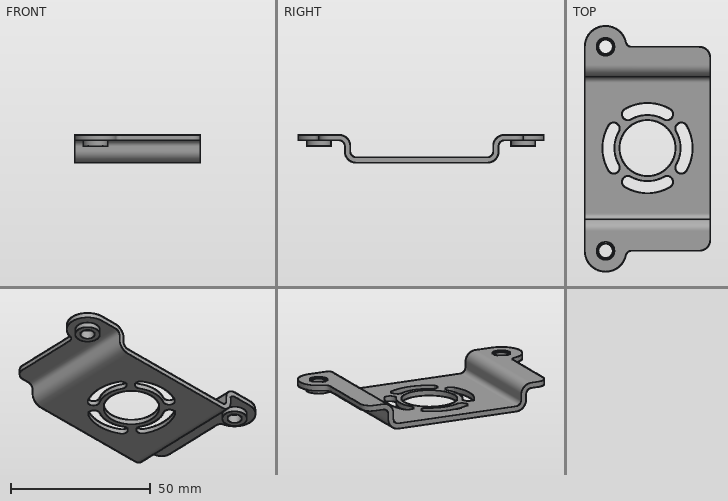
import cadquery as cq
import math

WIDTH = 45.0
LENGTH = 88.0
HEIGHT = 10.0
SHEET = 2.0
INNER_BEND = 2.0
OUTER_BEND = INNER_BEND + SHEET
TROUGH_Y = 0.3
TROUGH_HALF_LENGTH = 27.5

LUG_RADIUS = 7.5
NECK_RADIUS = 2.0
CORNER_RADIUS = 4.0
LUG_X = -WIDTH / 2 + LUG_RADIUS
LUG_Y = LENGTH / 2 - LUG_RADIUS

CENTRE_HOLE_DIAMETER = 20.0
SLOT_COUNT = 4
SLOT_PATH_RADIUS = 14.0
SLOT_WIDTH = 4.2
SLOT_HALF_ANGLE = 30

NUT_DIAMETER = 8.8
NUT_HEAD_HEIGHT = 2.0
SHANK_DIAMETER = 6.4
SHANK_LENGTH = 1.5
NUT_BORE = 5.1

FLANGE_BOTTOM = HEIGHT - SHEET
SIDES = (1, -1)


def half_sheet(side):
    """One half of the constant-thickness hat profile, extruded across the width.

    The half starts at the trough middle and runs to the end of the part on the given side.
    """
    flange_end = LENGTH / 2 - side * TROUGH_Y
    wall_inside = TROUGH_HALF_LENGTH - SHEET
    profile = (
        cq.Workplane("YZ", origin=(-WIDTH / 2, 0, 0))
        .moveTo(0, 0)
        .lineTo(TROUGH_HALF_LENGTH - OUTER_BEND, 0)
        .radiusArc((TROUGH_HALF_LENGTH, OUTER_BEND), -OUTER_BEND)
        .lineTo(TROUGH_HALF_LENGTH, FLANGE_BOTTOM - INNER_BEND)
        .radiusArc((TROUGH_HALF_LENGTH + INNER_BEND, FLANGE_BOTTOM), INNER_BEND)
        .lineTo(flange_end, FLANGE_BOTTOM)
        .lineTo(flange_end, HEIGHT)
        .lineTo(wall_inside + OUTER_BEND, HEIGHT)
        .radiusArc((wall_inside, HEIGHT - OUTER_BEND), -OUTER_BEND)
        .lineTo(wall_inside, SHEET + INNER_BEND)
        .radiusArc((wall_inside - INNER_BEND, SHEET), INNER_BEND)
        .lineTo(0, SHEET)
        .close()
    )
    half = profile.extrude(WIDTH)
    if side < 0:
        half = half.mirror("XZ")
    return half.translate((0, TROUGH_Y, 0))


def bent_sheet():
    """Both profile halves joined at the trough middle."""
    back, front = [half_sheet(side) for side in SIDES]
    return back.union(front)


def flat_outline():
    """Plan outline with a round lug and one rounded corner at each end, as a tall prism."""
    right = WIDTH / 2
    neck_offset = math.sqrt((LUG_RADIUS + NECK_RADIUS) ** 2 - NECK_RADIUS**2)
    lug_share = LUG_RADIUS / (LUG_RADIUS + NECK_RADIUS)
    neck_start = (LUG_X + neck_offset * lug_share, LUG_Y + NECK_RADIUS * lug_share)
    half = (
        cq.Workplane("XY")
        .moveTo(-right, 0)
        .lineTo(-right, LUG_Y)
        .radiusArc((LUG_X, LUG_Y + LUG_RADIUS), LUG_RADIUS)
        .radiusArc(neck_start, LUG_RADIUS)
        .radiusArc((LUG_X + neck_offset, LUG_Y), -NECK_RADIUS)
        .lineTo(right - CORNER_RADIUS, LUG_Y)
        .radiusArc((right, LUG_Y - CORNER_RADIUS), CORNER_RADIUS)
        .lineTo(right, 0)
        .close()
        .extrude(HEIGHT)
    )
    return half.union(half.mirror("XZ"))


def trough_plane():
    """Underside of the floor, centred on the trough middle."""
    return cq.Workplane("XY", origin=(0, TROUGH_Y, 0))


def curved_slot(mid_angle):
    """Cutter for one round-ended slot along the slot circle."""
    def on_circle(radius, angle):
        turn = math.radians(angle)
        return (radius * math.cos(turn), radius * math.sin(turn))

    start = mid_angle - SLOT_HALF_ANGLE
    end = mid_angle + SLOT_HALF_ANGLE
    inner = SLOT_PATH_RADIUS - SLOT_WIDTH / 2
    outer = SLOT_PATH_RADIUS + SLOT_WIDTH / 2
    return (
        trough_plane()
        .moveTo(*on_circle(outer, start))
        .threePointArc(on_circle(outer, mid_angle), on_circle(outer, end))
        .radiusArc(on_circle(inner, end), -SLOT_WIDTH / 2)
        .threePointArc(on_circle(inner, mid_angle), on_circle(inner, start))
        .radiusArc(on_circle(outer, start), -SLOT_WIDTH / 2)
        .close()
        .extrude(SHEET)
    )


def make_bracket():
    """Bent sheet with trimmed flanges, floor openings and nut holes."""
    bracket = bent_sheet().intersect(flat_outline())
    bracket = bracket.cut(trough_plane().circle(CENTRE_HOLE_DIAMETER / 2).extrude(SHEET))
    for index in range(SLOT_COUNT):
        bracket = bracket.cut(curved_slot(index * 360 / SLOT_COUNT))
    nut_holes = (
        cq.Workplane("XY", origin=(0, 0, FLANGE_BOTTOM))
        .pushPoints([(LUG_X, side * LUG_Y) for side in SIDES])
        .circle(SHANK_DIAMETER / 2)
        .extrude(SHEET)
    )
    return bracket.cut(nut_holes)


def make_nut(side):
    """Press-in nut: head under the flange, shank in the flange hole, bore right through."""
    seat = cq.Workplane("XY", origin=(LUG_X, side * LUG_Y, FLANGE_BOTTOM))
    head = seat.circle(NUT_DIAMETER / 2).extrude(-NUT_HEAD_HEIGHT)
    shank = seat.circle(SHANK_DIAMETER / 2).extrude(SHANK_LENGTH)
    bore = (
        seat.workplane(offset=-NUT_HEAD_HEIGHT)
        .circle(NUT_BORE / 2)
        .extrude(NUT_HEAD_HEIGHT + SHANK_LENGTH)
    )
    return head.union(shank).cut(bore)


bracket = make_bracket()
nuts = [make_nut(side) for side in SIDES]

result = cq.Compound.makeCompound([bracket.val(), *[nut.val() for nut in nuts]])